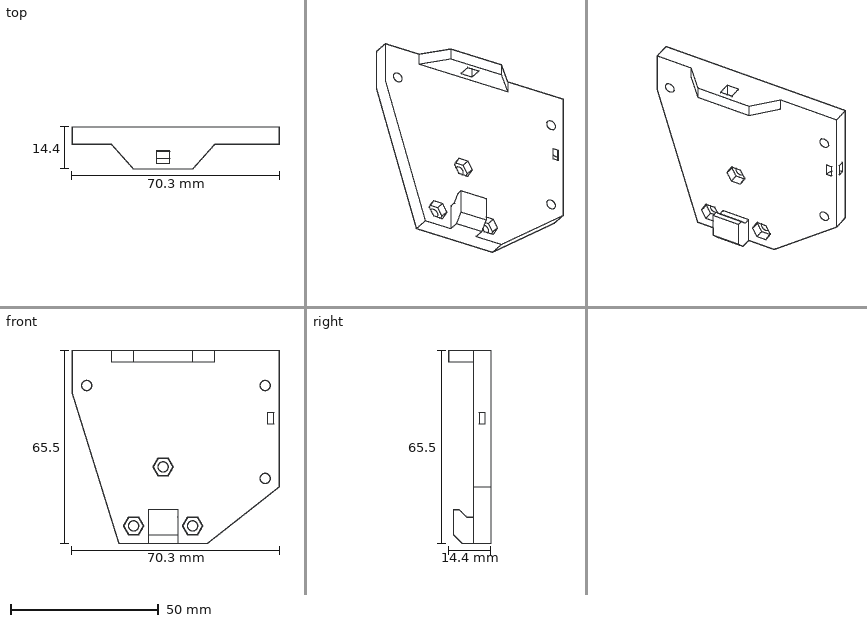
import cadquery as cq


overall_depth = 14.4
plate_width = 70.26
plate_height = 65.5
plate_thickness = 6.0
plate_right = 39.45
plate_left = plate_right - plate_width
bottom_half_width = 15.0
left_corner_z = 50.9
right_corner_z = 19.25

hole_diameter = 3.4
mount_spacing_x = 60.5
mount_spacing_z = 31.5
mount_right_x = 34.6
mount_left_x = mount_right_x - mount_spacing_x
mount_top_z = 53.6
mount_low_z = mount_top_z - mount_spacing_z

hexagon_sides = 6
nut_spacing = 20.0
nut_low_z = 6.0
nut_across_corners = 6.6
nut_mouth_across_corners = 7.0
nut_lead_in_depth = 1.0
nut_pocket_depth = 3.0

flange_projection = overall_depth - plate_thickness
flange_thickness = 4.0
flange_base_half_width = 17.5
flange_tip_half_width = 10.0

window_width = 4.4
window_length = 4.5
window_start = 2.0

clip_width = 10.0
clip_projection = 6.8
clip_height = 11.5
clip_chamfer = 3.0
clip_lip_thickness = 2.0
clip_slope = 2.5
clip_ledge_z = clip_height - clip_slope

channel_outer_radius = 4.0
channel_inner_radius = 2.0
channel_height = 4.0
channel_bottom_z = 40.5


def make_plate():
    outline = [
        (-bottom_half_width, 0),
        (bottom_half_width, 0),
        (plate_right, right_corner_z),
        (plate_right, plate_height),
        (plate_left, plate_height),
        (plate_left, left_corner_z),
    ]
    return cq.Workplane("XZ").polyline(outline).close().extrude(-plate_thickness)


def make_flange():
    """Tapered flange, rooted in the full plate thickness, with its window."""
    outline = [
        (-flange_base_half_width, plate_thickness),
        (-flange_base_half_width, 0),
        (-flange_tip_half_width, -flange_projection),
        (flange_tip_half_width, -flange_projection),
        (flange_base_half_width, 0),
        (flange_base_half_width, plate_thickness),
    ]
    bottom = cq.Workplane("XY").workplane(offset=plate_height - flange_thickness)
    flange = bottom.polyline(outline).close().extrude(flange_thickness)
    window = (
        bottom.center(0, -window_start - window_length / 2)
        .rect(window_width, window_length)
        .extrude(flange_thickness)
    )
    return flange.cut(window)


def make_clip():
    """Hooked clip, drawn as a Y-Z profile rooted in the plate."""
    lip_inner_y = -clip_projection + clip_lip_thickness
    profile = [
        (plate_thickness, 0),
        (-clip_projection + clip_chamfer, 0),
        (-clip_projection, clip_chamfer),
        (-clip_projection, clip_height),
        (lip_inner_y, clip_height),
        (lip_inner_y + clip_slope, clip_ledge_z),
        (plate_thickness, clip_ledge_z),
    ]
    return cq.Workplane("YZ").polyline(profile).close().extrude(clip_width / 2, both=True)


def make_holes(points):
    return (
        cq.Workplane("XZ")
        .pushPoints(points)
        .circle(hole_diameter / 2)
        .extrude(-plate_thickness)
    )


def make_nut_pockets(points):
    """Hexagonal pockets with a tapered lead-in at the front face."""
    pockets = (
        cq.Workplane("XZ")
        .pushPoints(points)
        .polygon(hexagon_sides, nut_across_corners)
        .extrude(-nut_pocket_depth)
    )
    for x, z in points:
        lead_in = (
            cq.Workplane("XZ", origin=(x, 0, z))
            .polygon(hexagon_sides, nut_mouth_across_corners)
            .workplane(offset=-nut_lead_in_depth)
            .polygon(hexagon_sides, nut_across_corners)
            .loft(ruled=True)
        )
        pockets = pockets.union(lead_in)
    return pockets


def make_tie_channel():
    """Ring centred on the right front edge: it enters the front and leaves the side."""
    return (
        cq.Workplane("XY", origin=(plate_right, 0, channel_bottom_z))
        .circle(channel_outer_radius)
        .circle(channel_inner_radius)
        .extrude(channel_height)
    )


mount_points = [
    (mount_left_x, mount_top_z),
    (mount_right_x, mount_top_z),
    (mount_right_x, mount_low_z),
]
nut_points = [
    (-nut_spacing / 2, nut_low_z),
    (nut_spacing / 2, nut_low_z),
    (0, nut_low_z + nut_spacing),
]

result = (
    make_plate()
    .union(make_flange())
    .union(make_clip())
    .cut(make_holes(mount_points + nut_points))
    .cut(make_nut_pockets(nut_points))
    .cut(make_tie_channel())
)